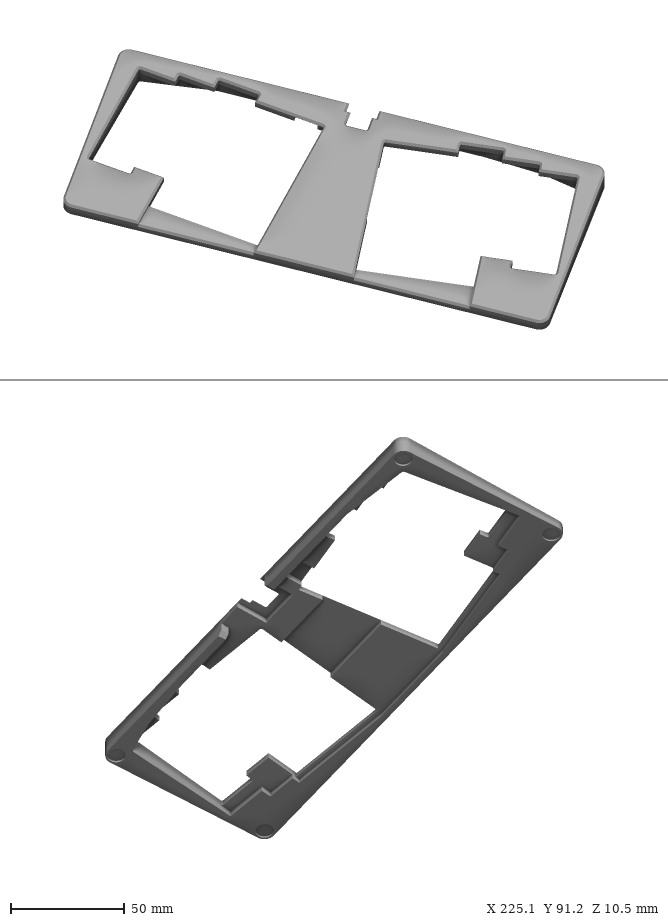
import cadquery as cq
import math

LENGTH = 225.1
DEPTH = 91.2
REAR_HEIGHT = 10.5
FRONT_HEIGHT = 5.9
CORNER_RADIUS = 5.0
BEVEL = 1.0
WELL_FILLET = 0.8
LIP = 4.0
RIM_DROP = 2.0
WELL_TILT = -7
WELL_CORNER = (-14.0, 29.7)
OVERLAP = 6.8
RIM_JOINT = 0.2

COLUMN_1 = 33.3
COLUMN_2 = 53.1
COLUMN_3 = 70.2
WELL_WIDTH = 87.8
HIGH_STEP = 4.7
LOW_STEP = 4.0
TAB_REAR = 54.3
SIDE_FRONT = 58.5
TAB_STEP_X = 67.5
RIM_REAR = 70.7

NOTCH_HALF = 7.0
NOTCH_STEP_Y = 41.0
NOTCH_INNER_HALF = 5.0
NOTCH_END_Y = 33.5

CAVITY_REAR_Y = 41.6
CAVITY_FILLET = 1.6
CAVITY_REAR_LEFT_X = 66.9
CAVITY_REAR_RIGHT_X = 56.7
CAVITY_BEND = (84.0, 40.0)
SIDE_UNDERCUT = 5.2
TAB_SOLID = 1.8
RIM_UNDERCUT = 2.3

FOOT_DIAMETER = 8.0
FOOT_DEPTH = 1.0

CHANNEL_LEFT = -10.1
CHANNEL_RIGHT = 22.0
CHANNEL_BEVEL = 2.3
THIN = 1.1
THIN_POCKET_Y = (-12.0, 17.5)
THIN_POCKET_HALF = 24.8
CABLE_POCKET_X = (-28.1, -16.9)

front_y = -DEPTH / 2
rear_y = DEPTH / 2


def well_point(u, v):
    """Turn a point of the tilted left well frame into plan coordinates."""
    angle = math.radians(WELL_TILT)
    x = WELL_CORNER[0] + u * math.cos(angle) - v * math.sin(angle)
    y = WELL_CORNER[1] + u * math.sin(angle) + v * math.cos(angle)
    return (x, y)


def prism(points, z_low, z_high):
    return cq.Workplane("XY").workplane(offset=z_low).polyline(points).close().extrude(z_high - z_low)


def box(x_low, x_high, y_low, y_high, z_low, z_high):
    size = (x_high - x_low, y_high - y_low, z_high - z_low)
    return cq.Workplane("XY").box(*size, centered=False).translate((x_low, y_low, z_low))


def both_sides(shape):
    return shape.union(shape.mirror("YZ"))


def wedge():
    """Rounded slab whose underside slopes up towards the front."""
    slab = (
        cq.Workplane("XY").rect(LENGTH, DEPTH).extrude(-REAR_HEIGHT)
        .edges("|Z").fillet(CORNER_RADIUS)
    )
    profile = [(rear_y, 0), (front_y, 0), (front_y, -FRONT_HEIGHT), (rear_y, -REAR_HEIGHT)]
    side = cq.Workplane("YZ").polyline(profile).close().extrude(LENGTH / 2, both=True)
    return slab.intersect(side)


def well_cutter():
    """Stepped left key well, open through the front edge."""
    rounded = [
        (0, 0), (-COLUMN_1, HIGH_STEP), (-COLUMN_2, HIGH_STEP), (-COLUMN_3, 0),
        (-WELL_WIDTH, -LOW_STEP), (-WELL_WIDTH, -SIDE_FRONT), (-TAB_STEP_X, -SIDE_FRONT),
    ]
    outline = [
        (0, -DEPTH), (0, 0), (-COLUMN_1, 0), (-COLUMN_1, HIGH_STEP),
        (-COLUMN_2, HIGH_STEP), (-COLUMN_2, 0), (-COLUMN_3, 0), (-COLUMN_3, -LOW_STEP),
        (-WELL_WIDTH, -LOW_STEP), (-WELL_WIDTH, -SIDE_FRONT), (-TAB_STEP_X, -SIDE_FRONT),
        (-TAB_STEP_X, -TAB_REAR), (-COLUMN_2, -TAB_REAR), (-COLUMN_2, -DEPTH),
    ]
    cutter = prism([well_point(*p) for p in outline], -REAR_HEIGHT, 0)
    for corner in rounded:
        middle = (*well_point(*corner), -REAR_HEIGHT / 2)
        cutter = cutter.edges(cq.selectors.NearestToPointSelector(middle)).fillet(WELL_FILLET)
    return cutter


def notch_cutter():
    """Stepped notch through the middle of the rear edge."""
    outer = box(-NOTCH_HALF, NOTCH_HALF, NOTCH_STEP_Y, rear_y + OVERLAP, -REAR_HEIGHT, 0)
    inner = box(-NOTCH_INNER_HALF, NOTCH_INNER_HALF, NOTCH_END_Y, rear_y, -REAR_HEIGHT, 0)
    return outer.union(inner.edges("|Z and <Y").fillet(WELL_FILLET))


def rim():
    """Lowered front rim that closes the left well, bevelled along its front edge."""
    left, right = -COLUMN_2 - RIM_JOINT, RIM_JOINT
    outline = [(left, -RIM_REAR), (right, -RIM_REAR), (right, -DEPTH), (left, -DEPTH)]
    bar = prism([well_point(*p) for p in outline], -REAR_HEIGHT, -RIM_DROP)
    section = [
        (rear_y, -RIM_DROP), (front_y + BEVEL, -RIM_DROP), (front_y, -RIM_DROP - BEVEL),
        (front_y, -FRONT_HEIGHT), (rear_y, -REAR_HEIGHT),
    ]
    envelope = cq.Workplane("YZ").polyline(section).close().extrude(LENGTH / 2, both=True)
    return bar.intersect(envelope)


def mirrored(points):
    return [(-x, y) for x, y in reversed(points)]


def cavity():
    """Room below the lips, shared by both wells and the bridge between them."""
    rim_base = -RIM_REAR - RIM_UNDERCUT
    tab_base = -RIM_REAR + TAB_SOLID
    side_base = -SIDE_FRONT - SIDE_UNDERCUT
    side_front = [
        (0, rim_base), (-COLUMN_2, rim_base), (-COLUMN_2, tab_base),
        (-TAB_STEP_X, tab_base), (-TAB_STEP_X, side_base), (-WELL_WIDTH, side_base),
        (-WELL_WIDTH, -LOW_STEP),
    ]
    left = [well_point(*p) for p in side_front]
    rear = [
        (-CAVITY_REAR_LEFT_X, CAVITY_REAR_Y), (CAVITY_REAR_RIGHT_X, CAVITY_REAR_Y),
        CAVITY_BEND,
    ]
    room = prism(left + rear + mirrored(left), -REAR_HEIGHT, -LIP)
    for x, y in (left[-1], mirrored(left)[0]):
        corner = cq.selectors.NearestToPointSelector((x, y, -(REAR_HEIGHT + LIP) / 2))
        room = room.edges(corner).fillet(CAVITY_FILLET)
    return room


def channel():
    """Opening through the rear wall below the lip, flared at the underside."""
    flare = CHANNEL_BEVEL
    section = [
        (CHANNEL_LEFT, -LIP), (CHANNEL_RIGHT, -LIP),
        (CHANNEL_RIGHT, -REAR_HEIGHT + flare), (CHANNEL_RIGHT + flare, -REAR_HEIGHT),
        (CHANNEL_LEFT - flare, -REAR_HEIGHT), (CHANNEL_LEFT, -REAR_HEIGHT + flare),
    ]
    length = rear_y - NOTCH_END_Y
    return cq.Workplane("XZ", origin=(0, rear_y, 0)).polyline(section).close().extrude(length)


def thin_pockets():
    """Pockets across the bridge, behind the left well and around the rear notch."""
    bridge = box(-THIN_POCKET_HALF, THIN_POCKET_HALF, *THIN_POCKET_Y, -LIP, -THIN)
    cable = box(*CABLE_POCKET_X, WELL_CORNER[1], CAVITY_REAR_Y, -LIP, -THIN)
    around_notch = box(CHANNEL_LEFT, -CHANNEL_LEFT, WELL_CORNER[1], rear_y + OVERLAP, -LIP, -THIN)
    return bridge.union(cable).union(around_notch)


def feet():
    """Round recesses square to the sloped underside, one at each corner."""
    slope = math.degrees(math.atan2(REAR_HEIGHT - FRONT_HEIGHT, DEPTH))
    inset = CORNER_RADIUS
    middle_height = (REAR_HEIGHT + FRONT_HEIGHT) / 2
    return (
        cq.Workplane("XY").rect(LENGTH - 2 * inset, DEPTH - 2 * inset, forConstruction=True)
        .vertices().circle(FOOT_DIAMETER / 2).extrude(FOOT_DEPTH)
        .rotate((0, 0, 0), (1, 0, 0), -slope)
        .translate((0, 0, -middle_height))
    )


plate = wedge().cut(both_sides(well_cutter())).cut(notch_cutter())
plate = plate.faces(">Z").edges().chamfer(BEVEL)
frame = plate.union(both_sides(rim()))
result = frame.cut(cavity()).cut(channel()).cut(thin_pockets()).cut(feet())